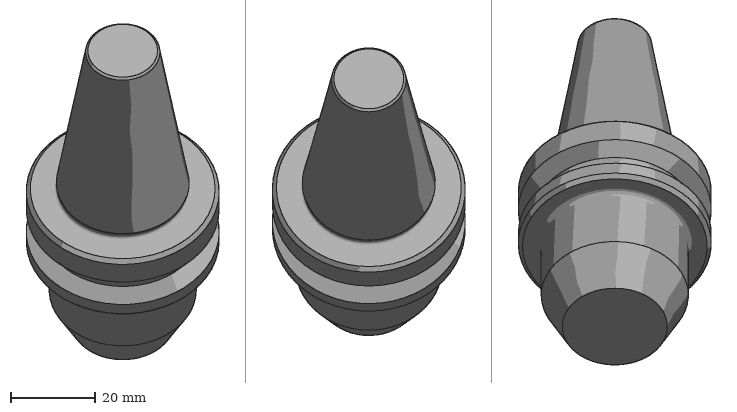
import cadquery as cq
import math

total_height = 98.4
gauge_z = 50.0
gauge_radius = 15.8
taper_slope = 7 / 48
tip_chamfer = 0.5

neck_radius = 15.5
neck_top_z = 49.4
neck_fillet = 0.5

flange_diameter = 46.0
flange_radius = flange_diameter / 2
flange_top_z = 48.0
flange_bottom_z = 27.9
flange_chamfer = 1.0
groove_radius = 19.2
groove_middle_z = 36.5
groove_floor_width = 3.8
groove_side_angle = 60

nose_radius = 17.5
nose_fillet = 1.3
nose_cone_height = 10.9
nose_end_radius = 12.5

tip_radius = gauge_radius - taper_slope * (total_height - gauge_z)
groove_side_height = (flange_radius - groove_radius) / math.tan(math.radians(groove_side_angle))
groove_floor_bottom = groove_middle_z - groove_floor_width / 2
groove_floor_top = groove_middle_z + groove_floor_width / 2
arc_middle_offset = 1 - math.sqrt(0.5)


def fillet_middle(radius, face_z, fillet, side):
    """Middle of a fillet from a cylinder to a flat face; side is +1 above the face, -1 below."""
    offset = fillet * arc_middle_offset
    return radius + offset, face_z + side * offset


profile = (
    cq.Workplane("XZ")
    .moveTo(0, 0)
    .lineTo(nose_end_radius, 0)
    .lineTo(nose_radius, nose_cone_height)
    .lineTo(nose_radius, flange_bottom_z - nose_fillet)
    .threePointArc(
        fillet_middle(nose_radius, flange_bottom_z, nose_fillet, -1),
        (nose_radius + nose_fillet, flange_bottom_z),
    )
    .lineTo(flange_radius - flange_chamfer, flange_bottom_z)
    .lineTo(flange_radius, flange_bottom_z + flange_chamfer)
    .lineTo(flange_radius, groove_floor_bottom - groove_side_height)
    .lineTo(groove_radius, groove_floor_bottom)
    .lineTo(groove_radius, groove_floor_top)
    .lineTo(flange_radius, groove_floor_top + groove_side_height)
    .lineTo(flange_radius, flange_top_z - flange_chamfer)
    .lineTo(flange_radius - flange_chamfer, flange_top_z)
    .lineTo(neck_radius + neck_fillet, flange_top_z)
    .threePointArc(
        fillet_middle(neck_radius, flange_top_z, neck_fillet, 1),
        (neck_radius, flange_top_z + neck_fillet),
    )
    .lineTo(neck_radius, neck_top_z)
    .lineTo(gauge_radius, gauge_z)
    .lineTo(tip_radius + taper_slope * tip_chamfer, total_height - tip_chamfer)
    .lineTo(tip_radius - tip_chamfer, total_height)
    .lineTo(0, total_height)
    .close()
)

result = profile.revolve(360, (0, 0, 0), (0, 1, 0))